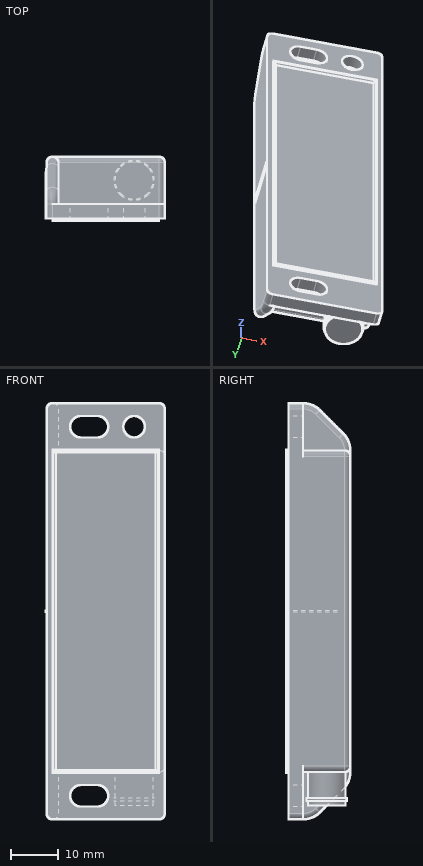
import cadquery as cq
import math

plate_width = 25.0
plate_height = 88.0
plate_thickness = 3.1
edge_radius = 1.25

back_y = 13.1
housing_height = 68.0

cheek_thickness = 2 * edge_radius
cheek_bend_radius = 5.0
cheek_slope_angle = 45.0

panel_width = 22.5
panel_height = 68.4
panel_rise = 0.5
panel_rim = 0.2
recess_depth = 0.5
recess_slope_width = 0.5

hole_diameter = 4.5
slot_length = 8.0
slot_x = -3.5
round_hole_x = 6.0
hole_z = 39.0

outlet_x = round_hole_x
outlet_y = (plate_thickness + back_y) / 2
outlet_diameter = 8.0
outlet_end_z = -41.1
collar_diameter = 8.5
collar_width = 0.6
collar_z = -39.8

rib_height = 0.2
rib_width = 0.3
rib_full_y = 9.7
rib_end_y = 10.9

left_x = -plate_width / 2


def make_plate():
    plate = cq.Workplane("XY").box(plate_width, plate_thickness, plate_height)
    plate = plate.translate((0, plate_thickness / 2, 0))
    return plate.edges("|Y").fillet(edge_radius)


def make_housing():
    housing = cq.Workplane("XY").box(plate_width, back_y, housing_height)
    housing = housing.translate((0, back_y / 2, 0))
    return housing.edges(">Y or (>X and |Y)").fillet(edge_radius)


def make_cheek():
    slope_angle = math.radians(cheek_slope_angle)
    core_bend_radius = cheek_bend_radius - edge_radius
    core_end_z = plate_height / 2 - edge_radius
    core_back_y = back_y - edge_radius
    slope_start_y = plate_thickness + core_bend_radius * math.tan(slope_angle / 2)
    slope_end_z = core_end_z - (core_back_y - slope_start_y) * math.tan(slope_angle)
    outline = [
        (0, -core_end_z),
        (slope_start_y, -core_end_z),
        (core_back_y, -slope_end_z),
        (core_back_y, slope_end_z),
        (slope_start_y, core_end_z),
        (0, core_end_z),
    ]
    core = cq.Workplane("YZ", origin=(left_x, 0, 0)).polyline(outline).close().extrude(cheek_thickness)
    core = core.edges("|X").edges("not <Y").fillet(core_bend_radius)

    border_edges = core.faces("<X").edges("not <Y").vals()
    border_path = cq.Workplane(cq.Wire.assembleEdges(border_edges))
    border = (
        cq.Workplane("XZ", origin=(left_x, 0, 0))
        .moveTo(0, core_end_z)
        .threePointArc((edge_radius, core_end_z + edge_radius), (cheek_thickness, core_end_z))
        .close()
        .sweep(border_path)
    )
    return core.union(border)


def add_panel(body):
    panel = cq.Workplane("XZ").rect(panel_width, panel_height).extrude(panel_rise)
    opening_width = panel_width - 2 * panel_rim
    opening_height = panel_height - 2 * panel_rim
    slope_angle = math.degrees(math.atan2(recess_slope_width, recess_depth))
    recess = (
        cq.Workplane("XZ", origin=(0, -panel_rise, 0))
        .rect(opening_width, opening_height)
        .extrude(-recess_depth, taper=slope_angle)
    )
    return body.union(panel).cut(recess)


def cut_mounting_holes(body):
    plate_face = cq.Workplane("XZ")
    slots = plate_face.pushPoints([(slot_x, hole_z), (slot_x, -hole_z)])
    slots = slots.slot2D(slot_length, hole_diameter).extrude(-plate_thickness)
    round_hole = plate_face.center(round_hole_x, hole_z).circle(hole_diameter / 2).extrude(-plate_thickness)
    return body.cut(slots).cut(round_hole)


def make_outlet():
    root_z = -housing_height / 2 + edge_radius
    axis = cq.Workplane("XY", origin=(outlet_x, outlet_y, outlet_end_z))
    barrel = axis.circle(outlet_diameter / 2).extrude(root_z - outlet_end_z)
    collar_start = collar_z - collar_width / 2 - outlet_end_z
    collar = axis.workplane(offset=collar_start).circle(collar_diameter / 2).extrude(collar_width)
    return barrel.union(collar)


def make_index_rib():
    crest_x = left_x - rib_height
    outline = [
        (left_x + rib_height, 0),
        (crest_x, 0),
        (crest_x, rib_full_y),
        (left_x, rib_end_y),
        (left_x + rib_height, rib_end_y),
    ]
    rib = cq.Workplane("XY", origin=(0, 0, -rib_width / 2))
    return rib.polyline(outline).close().extrude(rib_width)


body = make_plate().union(make_housing()).union(make_cheek())
body = add_panel(body)
body = cut_mounting_holes(body)
result = body.union(make_outlet()).union(make_index_rib())